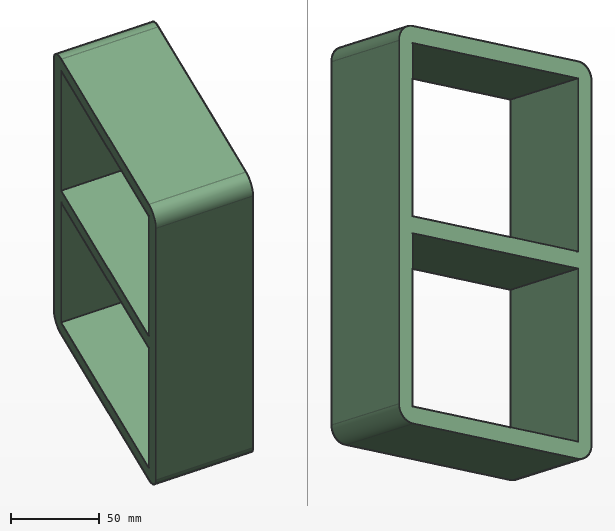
import cadquery as cq

width = 140.5
depth = 60.0
height = 232.0

wall = 10.0
corner_radius = 10.0

window_width = width - 2 * wall
window_height = (height - 3 * wall) / 2
window_pitch = window_height + wall

frame = cq.Workplane("XY").box(width, depth, height).edges("|Y").fillet(corner_radius)

windows = (
    cq.Workplane("XY")
    .pushPoints([(0, -window_pitch / 2), (0, window_pitch / 2)])
    .rect(window_width, window_height)
    .extrude(depth / 2, both=True)
    .rotate((0, 0, 0), (1, 0, 0), 90)
)

result = frame.cut(windows)